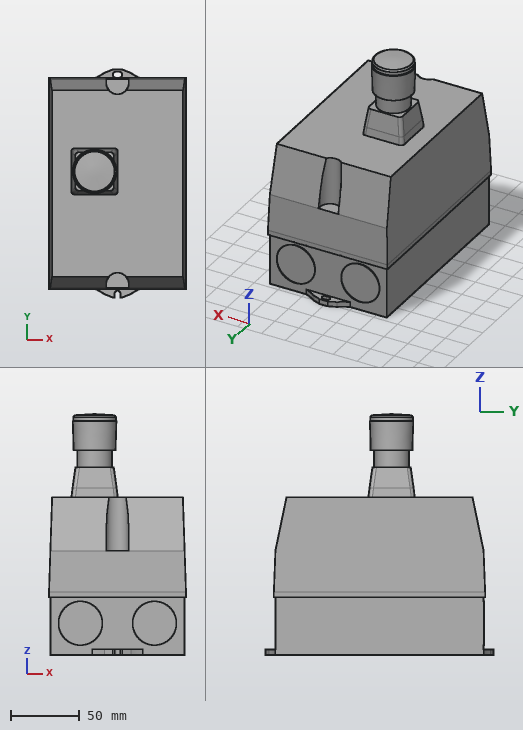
import cadquery as cq

BASE_TOP = 42.0
LIP_TOP = 46.0
SHOULDER_Z = 76.1
COVER_TOP = 115.1

BASE_SIZE = (97.7, 151.9)
LIP_SIZE = (100.0, 154.2)
COVER_TOP_SIZE = (95.5, 135.7)
SHOULDER_RISE = (SHOULDER_Z - LIP_TOP) / (COVER_TOP - LIP_TOP)
SHOULDER_SIZE = (LIP_SIZE[0] + SHOULDER_RISE * (COVER_TOP_SIZE[0] - LIP_SIZE[0]), 151.9)

RECESS_RADIUS = 8.3
RECESS_CENTRE_Y = 73.3

KNOCKOUT_DIAMETER = 32.0
KNOCKOUT_SPACING = 54.0
KNOCKOUT_Z = 23.2
KNOCKOUT_STEP = 0.5

LUG_REACH = 83.2
LUG_THICKNESS = 4.2
LUG_ROOT_HALF_WIDTH = 18.5
LUG_FLARE = (15.6, 77.2)
LUG_SHOULDER = (9.7, 80.7)
LUG_TIP_HALF_WIDTH = 3.5
LUG_SLOT_LENGTH = 6.7
LUG_SLOT_WIDTH = 4.2
LUG_SLOT_Y = 79.3
LUG_NOTCH_WIDTH = 4.2
LUG_NOTCH_BOTTOM = 78.2

BUTTON_X = -16.7
BUTTON_Y = 8.8
PEDESTAL_BOTTOM_WIDTH = 34.0
PEDESTAL_BAND_WIDTH = 32.3
PEDESTAL_TOP_WIDTH = 28.1
PEDESTAL_CORNER_RADIUS = 2.8
PEDESTAL_BAND_TOP = 121.8
PEDESTAL_TOP = 136.8
STEM_DIAMETER = 25.7
KNOB_BOTTOM = 149.3
KNOB_BOTTOM_DIAMETER = 30.8
KNOB_RIDGE_DIAMETER = 32.0
KNOB_RIDGE_Z = 170.4
KNOB_CAP_DIAMETER = 31.3
KNOB_CAP_BOTTOM = 170.9
KNOB_CAP_TOP = 173.5
KNOB_FACE_DIAMETER = 29.0
KNOB_FACE_Z = 175.0
KNOB_APEX = 175.8


def frustum(bottom_size, bottom_z, top_size, top_z, corner_radius=0):
    """Tapered block between two centred rectangles, optionally with round corners."""
    bottom = cq.Sketch().rect(*bottom_size)
    top = cq.Sketch().rect(*top_size)
    if corner_radius:
        bottom = bottom.vertices().fillet(corner_radius)
        top = top.vertices().fillet(corner_radius)
    return (
        cq.Workplane("XY")
        .placeSketch(
            bottom.moved(cq.Location(cq.Vector(0, 0, bottom_z))),
            top.moved(cq.Location(cq.Vector(0, 0, top_z))),
        )
        .loft()
    )


def make_lug():
    """Plain lug with its tip toward +Y, rooted inside the base."""
    root_y = BASE_SIZE[1] / 2
    inner_y = root_y - LUG_THICKNESS
    flare_x, flare_y = LUG_FLARE
    shoulder_x, shoulder_y = LUG_SHOULDER
    return (
        cq.Workplane("XY")
        .moveTo(-LUG_ROOT_HALF_WIDTH, inner_y)
        .lineTo(-LUG_ROOT_HALF_WIDTH, root_y)
        .threePointArc((-flare_x, flare_y), (-shoulder_x, shoulder_y))
        .lineTo(-LUG_TIP_HALF_WIDTH, LUG_REACH)
        .lineTo(LUG_TIP_HALF_WIDTH, LUG_REACH)
        .lineTo(shoulder_x, shoulder_y)
        .threePointArc((flare_x, flare_y), (LUG_ROOT_HALF_WIDTH, root_y))
        .lineTo(LUG_ROOT_HALF_WIDTH, inner_y)
        .close()
        .extrude(LUG_THICKNESS)
    )


def make_slotted_lug():
    """Lug at the +Y end, with a closed crosswise slot."""
    slot = (
        cq.Workplane("XY")
        .center(0, LUG_SLOT_Y)
        .slot2D(LUG_SLOT_LENGTH, LUG_SLOT_WIDTH)
        .extrude(LUG_THICKNESS)
    )
    return make_lug().cut(slot)


def make_notched_lug():
    """Lug at the -Y end, with a round-bottomed notch open at its tip."""
    radius = LUG_NOTCH_WIDTH / 2
    straight_start = LUG_NOTCH_BOTTOM + radius
    notch = (
        cq.Workplane("XY")
        .moveTo(-radius, LUG_REACH)
        .lineTo(-radius, straight_start)
        .threePointArc((0, LUG_NOTCH_BOTTOM), (radius, straight_start))
        .lineTo(radius, LUG_REACH)
        .close()
        .extrude(LUG_THICKNESS)
    )
    return make_lug().cut(notch).mirror("XZ")


def make_screw_recess(end):
    """Vertical half-round cutter, open toward the end wall on side `end` (+1 or -1)."""
    height = COVER_TOP - SHOULDER_Z
    centre_y = end * RECESS_CENTRE_Y
    mouth_length = LIP_SIZE[1] / 2 - RECESS_CENTRE_Y
    back = cq.Workplane("XY", origin=(0, centre_y, SHOULDER_Z)).circle(RECESS_RADIUS).extrude(height)
    mouth = (
        cq.Workplane("XY", origin=(0, centre_y + end * mouth_length / 2, SHOULDER_Z))
        .rect(2 * RECESS_RADIUS, mouth_length)
        .extrude(height)
    )
    return back.union(mouth)


def make_knockouts(wall_y):
    """Pair of thin discs reaching from the plane y = wall_y toward +Y."""
    half_spacing = KNOCKOUT_SPACING / 2
    return (
        cq.Workplane("XZ", origin=(0, wall_y, KNOCKOUT_Z))
        .pushPoints([(-half_spacing, 0), (half_spacing, 0)])
        .circle(KNOCKOUT_DIAMETER / 2)
        .extrude(-KNOCKOUT_STEP)
    )


def make_enclosure():
    """Base, overhanging lip, two-stage tapered cover and mounting lugs."""
    base = cq.Workplane("XY").rect(*BASE_SIZE).extrude(BASE_TOP)
    lip = cq.Workplane("XY", origin=(0, 0, BASE_TOP)).rect(*LIP_SIZE).extrude(LIP_TOP - BASE_TOP)
    skirt = frustum(LIP_SIZE, LIP_TOP, SHOULDER_SIZE, SHOULDER_Z)
    cover = frustum(SHOULDER_SIZE, SHOULDER_Z, COVER_TOP_SIZE, COVER_TOP)
    body = base.union(lip).union(skirt).union(cover).clean()
    for end in (-1, 1):
        body = body.cut(make_screw_recess(end))
    wall_y = BASE_SIZE[1] / 2
    body = body.cut(make_knockouts(-wall_y)).union(make_knockouts(wall_y))
    return body.union(make_slotted_lug()).union(make_notched_lug())


def make_button():
    """Tapered pedestal, round stem and mushroom knob, standing on the cover."""
    bottom_size = (PEDESTAL_BOTTOM_WIDTH, PEDESTAL_BOTTOM_WIDTH)
    band_size = (PEDESTAL_BAND_WIDTH, PEDESTAL_BAND_WIDTH)
    top_size = (PEDESTAL_TOP_WIDTH, PEDESTAL_TOP_WIDTH)
    band = frustum(bottom_size, COVER_TOP, band_size, PEDESTAL_BAND_TOP, PEDESTAL_CORNER_RADIUS)
    upper = frustum(band_size, PEDESTAL_BAND_TOP, top_size, PEDESTAL_TOP, PEDESTAL_CORNER_RADIUS)
    turned = (
        cq.Workplane("XZ")
        .moveTo(0, PEDESTAL_TOP)
        .lineTo(STEM_DIAMETER / 2, PEDESTAL_TOP)
        .lineTo(STEM_DIAMETER / 2, KNOB_BOTTOM)
        .lineTo(KNOB_BOTTOM_DIAMETER / 2, KNOB_BOTTOM)
        .lineTo(KNOB_RIDGE_DIAMETER / 2, KNOB_RIDGE_Z)
        .lineTo(KNOB_CAP_DIAMETER / 2, KNOB_CAP_BOTTOM)
        .lineTo(KNOB_CAP_DIAMETER / 2, KNOB_CAP_TOP)
        .lineTo(KNOB_FACE_DIAMETER / 2, KNOB_FACE_Z)
        .lineTo(0, KNOB_APEX)
        .close()
        .revolve(360, (0, 0, 0), (0, 1, 0))
    )
    return band.union(upper).union(turned).translate((BUTTON_X, BUTTON_Y, 0))


enclosure = make_enclosure()
button = make_button()

result = cq.Compound.makeCompound([enclosure.val(), button.val()])